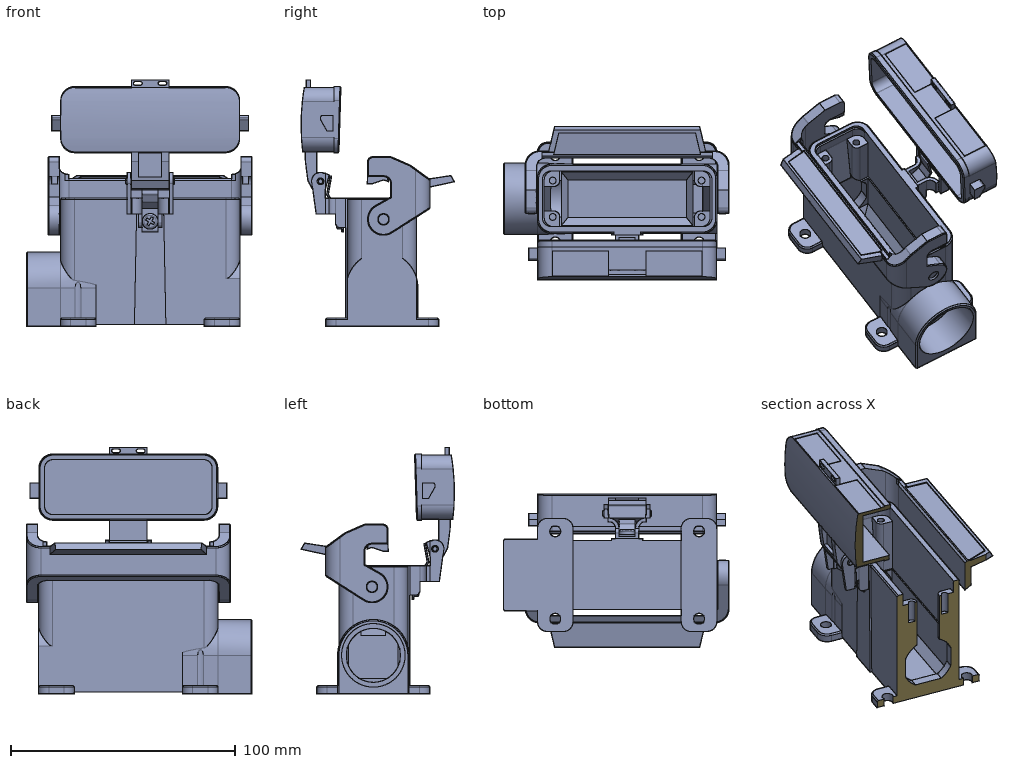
import cadquery as cq
import math


tower_half_x = 40.0
tower_half_y = 15.4
tower_top = 57.1
tower_radius = 6.3
tower_bottom = 0.8
rim_chamfer = 0.6

opening_half_x = 36.9
opening_half_y = 12.4
opening_radius = 4.0
lip_width = 0.85
lip_depth = 1.2
pad_depth = 6.0
pad_inner_x = 30.0
pad_inner_y = 5.5
pad_bottom = 26.0
pad_round = 2.5
end_slope_bottom_x = 33.7
pad_hole_x = 33.1
pad_hole_y = 8.1
pad_hole_diameter = 3.0
pad_hole_depth = 10.0
well_half_x = 29.2
well_half_y = 11.8
floor_half_x = 26.3
floor_half_y = 8.3
floor_z = 3.0
floor_slope_top = 7.0

entry_z = 17.2
entry_radius = 15.95
entry_end_x = -55.1
entry_chamfer = 0.6
entry_taper_end_x = -24.0
entry_taper_radius = 15.45
entry_bore_diameter = 28.3
entry_bore_depth = 15.3
entry_inner_diameter = 24.0
inner_bore_half_x = 33.5
inner_bore_half_y = 11.0

foot_inner_x = 24.0
foot_half_y = 25.2
foot_height = 3.8
foot_radius = 4.6
foot_chamfer = 0.6
foot_hole_x = 32.0
foot_hole_y = 19.5
foot_hole_diameter = 4.8
foot_head_diameter = 8.0

wall_pad_half_top = 5.9
wall_pad_half_bottom = 7.0
wall_pad_y = 16.2

lever_half_x = 45.4
lever_arm_width = 5.0
lever_back_y = 21.3
lever_back_thickness = 3.2
lever_back_top = 65.9
lever_back_half_x = 38.0
lever_back_chamfer = 0.9
lever_outer_radius = 6.5
lever_inner_radius = 4.2
lever_top = 75.6
lever_front_y = -6.5
lever_front_radius = 2.4
lever_eye_radius = 7.1
lever_edge_chamfer = 0.4
pivot_y = 0.6
pivot_z = 47.7
stud_diameter = 4.6
lever_hole_diameter = 5.1
stud_recess = 0.9
mouth_y = 3.8
mouth_bottom = 57.6
mouth_top = 66.7
mouth_radius = 3.2
hook_inner_x = 41.2
hook_outer_x = 43.8
grip_outer_half = 32.3
grip_inner_half = 35.1
grip_panel_outer_half = 30.4
grip_panel_inner_half = 32.7
grip_panel_outer_y = 29.3
grip_panel_inner_y = 19.7
grip_panel_depth = 0.4
grip_root = (20.3, 65.6)
grip_tip = (30.6, 67.2)
grip_tip_low = (32.2, 64.4)
grip_root_low = (20.3, 61.8)

hinge_y = -27.4
hinge_z = 64.6
hinge_pin_diameter = 3.0
hinge_pin_half_x = 10.9
hinge_pin_chamfer = 0.5
sheet = 1.6
ear_outer_x = 10.2
ear_radius = 4.0
ear_back_y = -25.3
ear_bottom = 50.0
ear_foot_y = -29.4
bracket_leg_x = 5.2
bracket_bend_y = -20.8
bracket_plate_front_y = -17.2
bracket_bottom = 44.0
bracket_toe_radius = 2.0
spring_thickness = 0.8
spring_half_x = 3.6
spring_bottom = 42.4
screw_z = 46.8
screw_head_diameter = 7.0
screw_head_height = 2.2
screw_head_fillet = 0.8
screw_shank_diameter = 3.44
screw_tip_y = -13.6
screw_slot_length = 4.0
screw_slot_width = 1.1
screw_slot_depth = 0.9
screw_slot_angle = 30

cover_half_x = 39.8
cover_bottom = 77.3
cover_top = 106.8
cover_radius = 6.3
cover_rim_top_y = -18.3
cover_rim_bottom_y = -19.2
cover_front_top_y = -34.6
cover_front_mid_y = -36.08
cover_front_bottom_y = -35.3
cover_wall = 2.5
cover_edge_chamfer = 0.5
cover_rim_depth = 3.2
cover_rim_step = 0.4
cover_panel_inner_x = 8.4
cover_panel_outer_x = 33.2
cover_panel_back_y = -23.3
cover_panel_front_y = -34.3
cover_panel_depth = 0.6
peg_half_x = 43.8
peg_round = 0.9
tab_half_x = 8.4
tab_top = 109.78
tab_back_y = -31.8
tab_front_y = -33.8
tab_slot_x = 5.5
tab_slot_z = 108.2
tab_slot_length = 3.8
tab_slot_height = 1.5
strap_bottom = 61.3
strap_back_y = -29.0
strap_window_half_x = 5.1
strap_window_bottom = 66.6
strap_window_floor_y = -31.6
knuckle_radius = 2.2


def box(x0, x1, y0, y1, z0, z1):
    """Block between two opposite corners, given in any order."""
    size = (abs(x1 - x0), abs(y1 - y0), abs(z1 - z0))
    centre = ((x0 + x1) / 2, (y0 + y1) / 2, (z0 + z1) / 2)
    return cq.Workplane("XY").box(*size).translate(centre)


def upright(half_x, half_y, radius, z0, z1):
    """Upright rounded block centred on the Z axis."""
    block = box(-half_x, half_x, -half_y, half_y, z0, z1)
    return block.edges("|Z").fillet(radius)


def x_cylinder(diameter, x0, x1, y, z):
    """Cylinder along X."""
    return cq.Workplane("YZ", origin=(x0, y, z)).circle(diameter / 2).extrude(x1 - x0)


def y_cylinder(diameter, y0, y1, x, z):
    """Cylinder along Y from y0 towards the lower y1."""
    return cq.Workplane("XZ", origin=(x, y0, z)).circle(diameter / 2).extrude(y0 - y1)


def z_cylinder(diameter, z0, z1, x, y):
    """Upright cylinder."""
    return cq.Workplane("XY", origin=(x, y, z0)).circle(diameter / 2).extrude(z1 - z0)


def side_profile(points, x0, x1):
    """Polygon of (Y, Z) points extruded along X."""
    return cq.Workplane("YZ", origin=(x0, 0, 0)).polyline(points).close().extrude(x1 - x0)


def mirrored(shape, plane):
    """The shape joined with its mirror image."""
    return shape.union(shape.mirror(plane))


def arch_wire(plane, radius):
    """Arch outline: flat bottom on Z = 0, straight sides, round top."""
    return (
        plane.moveTo(-radius, 0)
        .lineTo(-radius, entry_z)
        .threePointArc((0, entry_z + radius), (radius, entry_z))
        .lineTo(radius, 0)
        .close()
    )


def make_entry():
    """Cable entry, tapering into the tower wall."""
    spout_plane = cq.Workplane("YZ", origin=(entry_end_x, 0, 0))
    spout = arch_wire(spout_plane, entry_radius).extrude(-tower_half_x - entry_end_x)
    spout = spout.faces("<X").edges("not(<Z)").chamfer(entry_chamfer)
    taper = arch_wire(cq.Workplane("YZ", origin=(-tower_half_x, 0, 0)), entry_radius)
    taper = taper.workplane(offset=entry_taper_end_x + tower_half_x)
    taper = arch_wire(taper, entry_taper_radius).loft(combine=True)
    return spout.union(taper)


def make_blind_end():
    """Arched base at the closed end, flush with the tower walls."""
    start_x = tower_half_x - tower_radius
    arch = arch_wire(cq.Workplane("YZ", origin=(start_x, 0, 0)), entry_radius).extrude(tower_radius)
    walls = box(start_x, tower_half_x, -tower_half_y, tower_half_y, 0, tower_top)
    return arch.intersect(walls)


def make_foot_bar(side):
    """Mounting bar across one end, forming a foot at the front and the back."""
    bar = box(side * foot_inner_x, side * tower_half_x, -foot_half_y, foot_half_y, 0, foot_height)
    return bar.edges("|Z").fillet(foot_radius).faces(">Z").edges().chamfer(foot_chamfer)


def make_wall_pad():
    """Tapered pad down the front wall, seat of the hinge bracket."""
    outline = [
        (-wall_pad_half_top, tower_top),
        (wall_pad_half_top, tower_top),
        (wall_pad_half_bottom, tower_bottom),
        (-wall_pad_half_bottom, tower_bottom),
    ]
    plane = cq.Workplane("XZ", origin=(0, -opening_half_y, 0))
    return plane.polyline(outline).close().extrude(wall_pad_y - opening_half_y)


def make_insert_pad():
    """Column under one contact-insert corner, rounded towards the well."""
    pad = box(
        pad_inner_x,
        opening_half_x + lip_width,
        pad_inner_y,
        opening_half_y,
        pad_bottom,
        tower_top - pad_depth,
    )
    return pad.edges("|Z and <X and <Y").fillet(pad_round)


def make_cavity():
    """Open interior: mouth, contact-insert pads, well and sloped floor."""
    mouth = upright(opening_half_x, opening_half_y, opening_radius, pad_bottom, tower_top)
    lip_half_x = opening_half_x + lip_width
    lip = upright(lip_half_x, opening_half_y, opening_radius, tower_top - lip_depth, tower_top)
    end_slopes = [
        (-opening_half_x, tower_top),
        (opening_half_x, tower_top),
        (opening_half_x, tower_top - pad_depth),
        (end_slope_bottom_x, pad_bottom),
        (-end_slope_bottom_x, pad_bottom),
        (-opening_half_x, tower_top - pad_depth),
    ]
    plane = cq.Workplane("XZ", origin=(0, opening_half_y, 0))
    mouth = mouth.intersect(plane.polyline(end_slopes).close().extrude(2 * opening_half_y))
    pads = mirrored(mirrored(make_insert_pad(), "YZ"), "XZ")
    well = box(-well_half_x, well_half_x, -well_half_y, well_half_y, floor_slope_top, pad_bottom)
    floor = (
        cq.Workplane("XY", origin=(0, 0, floor_z))
        .rect(2 * floor_half_x, 2 * floor_half_y)
        .workplane(offset=floor_slope_top - floor_z)
        .rect(2 * well_half_x, 2 * well_half_y)
        .loft(combine=True)
    )
    end_x = inner_bore_half_x
    end_y = inner_bore_half_y
    bore = x_cylinder(entry_inner_diameter, -end_x, end_x, 0, entry_z)
    bore = bore.intersect(box(-end_x, end_x, -end_y, end_y, floor_slope_top, tower_top))
    return mouth.cut(pads).union(lip).union(well).union(floor).union(bore)


def make_housing():
    body = upright(tower_half_x, tower_half_y, tower_radius, tower_bottom, tower_top)
    body = body.faces(">Z").edges().chamfer(rim_chamfer)
    body = body.union(make_wall_pad())
    body = body.union(make_entry()).union(make_blind_end())
    for y in (-foot_hole_y, foot_hole_y):
        body = body.cut(z_cylinder(foot_head_diameter, 0, tower_top, -foot_hole_x, y))
    for side in (-1, 1):
        body = body.union(make_foot_bar(side))
    body = body.cut(make_cavity())
    for x in (-foot_hole_x, foot_hole_x):
        for y in (-foot_hole_y, foot_hole_y):
            body = body.cut(z_cylinder(foot_hole_diameter, 0, foot_height, x, y))
    pad_z = tower_top - pad_depth
    for x in (-pad_hole_x, pad_hole_x):
        for y in (-pad_hole_y, pad_hole_y):
            body = body.cut(z_cylinder(pad_hole_diameter, pad_z - pad_hole_depth, pad_z, x, y))
    bore_end_x = entry_end_x + entry_bore_depth
    body = body.cut(x_cylinder(entry_bore_diameter, entry_end_x, bore_end_x, 0, entry_z))
    body = body.cut(x_cylinder(entry_inner_diameter, bore_end_x, -well_half_x, 0, entry_z))
    stud_start = opening_half_x + lip_width
    stud = x_cylinder(stud_diameter, stud_start, lever_half_x - stud_recess, pivot_y, pivot_z)
    body = body.union(mirrored(stud, "YZ"))
    return body.cut(y_cylinder(screw_shank_diameter, screw_tip_y, -wall_pad_y, 0, screw_z))


def tangent_point(point, side):
    """Where a line from the point touches the lever eye, on the chosen side."""
    dy = point[0] - pivot_y
    dz = point[1] - pivot_z
    angle = math.atan2(dz, dy) + side * math.acos(lever_eye_radius / math.hypot(dy, dz))
    return (
        pivot_y + lever_eye_radius * math.cos(angle),
        pivot_z + lever_eye_radius * math.sin(angle),
    )


def make_lever_profile():
    """Side shape of the lever, as a slab over its whole width."""
    back_low = (lever_back_y, 52.5)
    mouth_low = (mouth_y, mouth_bottom)
    eye_bottom = (pivot_y, pivot_z - lever_eye_radius)
    diagonal = mouth_radius * (1 - math.sqrt(0.5))
    corner = lever_front_radius * (1 - math.sqrt(0.5))
    return (
        cq.Workplane("YZ", origin=(-lever_half_x, 0, 0))
        .moveTo(*back_low)
        .lineTo(lever_back_y, 65.4)
        .lineTo(12.5, 71.8)
        .lineTo(mouth_y, lever_top)
        .lineTo(lever_front_y + lever_front_radius, lever_top)
        .threePointArc(
            (lever_front_y + corner, lever_top - corner),
            (lever_front_y, lever_top - lever_front_radius),
        )
        .lineTo(lever_front_y, mouth_top)
        .lineTo(mouth_y - mouth_radius, mouth_top)
        .threePointArc(
            (mouth_y - diagonal, mouth_top - diagonal),
            (mouth_y, mouth_top - mouth_radius),
        )
        .lineTo(*mouth_low)
        .lineTo(*tangent_point(mouth_low, 1))
        .threePointArc(eye_bottom, tangent_point(back_low, -1))
        .close()
        .extrude(2 * lever_half_x)
    )


def make_back_relief():
    """Material above the back plate, shaped to leave a chamfered inner edge."""
    inner_y = lever_back_y - lever_back_thickness
    outline = [
        (inner_y, lever_back_top - lever_back_chamfer),
        (inner_y + lever_back_chamfer, lever_back_top),
        (lever_back_y, lever_back_top),
        (lever_back_y, lever_top),
        (inner_y, lever_top),
    ]
    return side_profile(outline, -lever_back_half_x, lever_back_half_x)


def make_lever_band():
    """U-shaped plan of the lever: two arms joined behind the housing."""
    reach_y = pivot_y - lever_eye_radius - 1
    outer = box(-lever_half_x, lever_half_x, reach_y, lever_back_y, 0, lever_top)
    outer = outer.edges("|Z and >Y").fillet(lever_outer_radius)
    inner_x = lever_half_x - lever_arm_width
    inner = box(-inner_x, inner_x, reach_y, lever_back_y - lever_back_thickness, 0, lever_top)
    inner = inner.edges("|Z and >Y").fillet(lever_inner_radius)
    return outer.cut(inner)


def make_hook():
    """Catch below the upper jaw of the arm, holding the cover peg."""
    outline = [
        (mouth_y - mouth_radius / 2, mouth_top),
        (2.9, 64.4),
        (0.7, 65.2),
        (-4.3, 63.5),
        (-6.7, 63.5),
        (lever_front_y, mouth_top),
    ]
    return side_profile(outline, hook_inner_x, hook_outer_x)


def make_grip():
    """Finger plate sloping up behind the lever."""
    plate = side_profile(
        [grip_root, grip_tip, grip_tip_low, grip_root_low], -grip_inner_half, grip_inner_half
    )
    plan = [
        (-grip_inner_half, grip_root[0]),
        (-grip_outer_half, grip_tip_low[0]),
        (grip_outer_half, grip_tip_low[0]),
        (grip_inner_half, grip_root[0]),
    ]
    return plate.intersect(cq.Workplane("XY").polyline(plan).close().extrude(lever_top))


def make_grip_panel():
    """Shallow recess framed by the rim of the finger plate."""
    plan = [
        (-grip_panel_inner_half, grip_panel_inner_y),
        (-grip_panel_outer_half, grip_panel_outer_y),
        (grip_panel_outer_half, grip_panel_outer_y),
        (grip_panel_inner_half, grip_panel_inner_y),
    ]
    column = cq.Workplane("XY").polyline(plan).close().extrude(lever_top)
    slope = (grip_tip[1] - grip_root[1]) / (grip_tip[0] - grip_root[0])
    inner_z = grip_root[1] + slope * (grip_panel_inner_y - grip_root[0])
    above_floor = side_profile(
        [
            (grip_panel_inner_y, inner_z - grip_panel_depth),
            (grip_tip[0], grip_tip[1] - grip_panel_depth),
            (grip_tip[0], lever_top),
            (grip_panel_inner_y, lever_top),
        ],
        -grip_panel_inner_half,
        grip_panel_inner_half,
    )
    return column.intersect(above_floor)


def make_lever():
    body = make_lever_profile().intersect(make_lever_band())
    arm_faces = body.faces("<X or >X")
    body = arm_faces.edges("not(|Z and >Y)").chamfer(lever_edge_chamfer)
    body = body.cut(make_back_relief())
    body = body.union(mirrored(make_hook(), "YZ"))
    body = body.union(make_grip()).cut(make_grip_panel())
    return body.cut(x_cylinder(lever_hole_diameter, -lever_half_x, lever_half_x, pivot_y, pivot_z))


def make_bracket_side():
    """Leg, outward bend and ear on the +X side of the bracket."""
    leg_inner_x = bracket_leg_x - sheet
    leg = box(leg_inner_x, bracket_leg_x, -wall_pad_y, bracket_bend_y, bracket_bottom, tower_top)
    leg = leg.edges("|X and <Y and <Z").fillet(bracket_toe_radius)
    bend_radius = bracket_bend_y - ear_back_y
    bend_x = leg_inner_x + bend_radius
    bend = z_cylinder(2 * bend_radius, ear_bottom, tower_top, bend_x, bracket_bend_y)
    bend = bend.cut(z_cylinder(2 * (bend_radius - sheet), ear_bottom, tower_top, bend_x, bracket_bend_y))
    quarter = box(leg_inner_x, bend_x, ear_back_y, bracket_bend_y, ear_bottom, tower_top)
    bend = bend.intersect(quarter)
    ear_inner_x = ear_outer_x - sheet
    shank = side_profile(
        [
            (ear_back_y, ear_bottom),
            (ear_foot_y, ear_bottom),
            (hinge_y - ear_radius, hinge_z),
            (ear_back_y, hinge_z),
        ],
        ear_inner_x,
        ear_outer_x,
    )
    eye = x_cylinder(2 * ear_radius, ear_inner_x, ear_outer_x, hinge_y, hinge_z)
    eye = eye.cut(box(0, ear_outer_x, ear_back_y, 0, 0, tab_top))
    root = box(ear_inner_x, bend_x, ear_back_y - sheet, ear_back_y + sheet, ear_bottom, tower_top)
    return leg.union(bend).union(root).union(shank).union(eye)


def make_bracket():
    leg_x = bracket_leg_x
    body = box(-leg_x, leg_x, -wall_pad_y, bracket_plate_front_y, bracket_bottom, tower_top)
    body = body.union(mirrored(make_bracket_side(), "YZ"))
    body = body.cut(x_cylinder(hinge_pin_diameter, -ear_outer_x, ear_outer_x, hinge_y, hinge_z))
    return body.cut(y_cylinder(screw_shank_diameter, -wall_pad_y, bracket_plate_front_y, 0, screw_z))


def make_spring():
    """Leaf under the screw that bends out and up behind the cover hinge."""
    back_y = bracket_plate_front_y
    centre = [
        (back_y - spring_thickness / 2, spring_bottom),
        (back_y - spring_thickness / 2, 52.7),
        (-22.6, 55.6),
        (-24.3, 58.8),
        (-22.9, 66.6),
    ]
    leaf = (
        cq.Workplane("YZ", origin=(-spring_half_x, 0, 0))
        .polyline(centre)
        .offset2D(spring_thickness / 2)
        .extrude(2 * spring_half_x)
    )
    return leaf.cut(y_cylinder(screw_shank_diameter, back_y, back_y - spring_thickness, 0, screw_z))


def make_screw():
    seat_y = bracket_plate_front_y - spring_thickness
    face_y = seat_y - screw_head_height
    body = y_cylinder(screw_head_diameter, seat_y, face_y, 0, screw_z)
    body = body.faces("<Y").edges().fillet(screw_head_fillet)
    slot_floor_y = face_y + screw_slot_depth
    half = screw_slot_length / 2
    thin = screw_slot_width / 2
    for half_x, half_z in ((half, thin), (thin, half)):
        slot = box(-half_x, half_x, face_y, slot_floor_y, screw_z - half_z, screw_z + half_z)
        body = body.cut(slot.rotate((0, 0, screw_z), (0, 1, screw_z), screw_slot_angle))
    return body.union(y_cylinder(screw_shank_diameter, screw_tip_y, seat_y, 0, screw_z))


def cover_block(inset_x, inset_z, y0, y1):
    """Rounded cover outline, drawn in by the insets, between two Y planes."""
    half_x = cover_half_x - inset_x
    block = box(-half_x, half_x, y0, y1, cover_bottom + inset_z, cover_top - inset_z)
    return block.edges("|Y").fillet(cover_radius - inset_x)


def make_cover_shell():
    """Hollow cover body with a bowed front face, open towards the back."""
    mid_z = (cover_bottom + cover_top) / 2
    slab = (
        cq.Workplane("YZ", origin=(-cover_half_x, 0, 0))
        .moveTo(cover_rim_top_y, cover_top)
        .lineTo(cover_rim_bottom_y, cover_bottom)
        .lineTo(cover_front_bottom_y, cover_bottom)
        .threePointArc((cover_front_mid_y, mid_z), (cover_front_top_y, cover_top))
        .close()
        .extrude(2 * cover_half_x)
    )
    rim_front_y = cover_rim_top_y - cover_rim_depth
    beyond_front_y = cover_front_mid_y - 1
    outline = cover_block(0, 0, cover_rim_top_y, rim_front_y)
    outline = outline.union(cover_block(0, cover_rim_step, rim_front_y, beyond_front_y))
    shell = slab.intersect(outline)
    shell = shell.faces(">Y").edges().chamfer(cover_edge_chamfer)
    cavity_end_y = cover_front_top_y + cover_wall
    return shell.cut(cover_block(cover_wall, cover_wall, cover_rim_top_y, cavity_end_y))


def make_cover_peg():
    """Tapered peg on the end of the cover, caught by the lever hook."""
    outline = [
        (-21.9, 93.9),
        (-27.4, 93.9),
        (-27.4, 92.0),
        (-24.6, 87.1),
        (-21.9, 87.1),
    ]
    peg = side_profile(outline, cover_half_x - cover_wall, peg_half_x)
    return peg.edges("|X and <Y").fillet(peg_round)


def make_cover_tab():
    """Lug along the top edge with two slots for a label strap."""
    tab = box(-tab_half_x, tab_half_x, tab_back_y, tab_front_y, cover_top - cover_wall, tab_top)
    slots = (
        cq.Workplane("XZ", origin=(0, tab_back_y, tab_slot_z))
        .pushPoints([(-tab_slot_x, 0), (tab_slot_x, 0)])
        .slot2D(tab_slot_length, tab_slot_height)
        .extrude(tab_back_y - tab_front_y)
    )
    return tab.cut(slots)


def make_cover_strap():
    """Strap below the cover with a recessed window, a hinge knuckle and its pin."""
    outline = [
        (strap_back_y, cover_bottom + cover_wall),
        (-34.4, cover_bottom + cover_wall),
        (-34.2, 73.5),
        (-33.1, 65.0),
        (-31.2, strap_bottom),
        (-30.4, strap_bottom),
        (strap_back_y, hinge_z + knuckle_radius),
    ]
    strap = side_profile(outline, -tab_half_x, tab_half_x)
    knuckle = x_cylinder(2 * knuckle_radius, -tab_half_x, tab_half_x, hinge_y, hinge_z)
    web = side_profile(
        [
            (-23.5, 67.4),
            (ear_back_y, hinge_z + ear_radius - 0.4),
            (strap_back_y - 1, hinge_z + knuckle_radius),
            (-30.8, strap_bottom),
            (ear_back_y, 60.8),
        ],
        -tab_half_x,
        tab_half_x,
    )
    window = box(
        -strap_window_half_x,
        strap_window_half_x,
        strap_window_floor_y,
        cover_front_mid_y,
        strap_window_bottom,
        cover_bottom,
    )
    pin = x_cylinder(hinge_pin_diameter, -hinge_pin_half_x, hinge_pin_half_x, hinge_y, hinge_z)
    pin = pin.faces("<X or >X").edges().chamfer(hinge_pin_chamfer)
    return strap.union(knuckle).union(web).cut(window).union(pin)


def make_cover():
    body = make_cover_shell()
    panel = box(
        cover_panel_inner_x,
        cover_panel_outer_x,
        cover_panel_back_y,
        cover_panel_front_y,
        cover_top - cover_panel_depth,
        cover_top,
    )
    body = body.cut(mirrored(panel, "YZ"))
    body = body.union(mirrored(make_cover_peg(), "YZ"))
    return body.union(make_cover_tab()).union(make_cover_strap())


housing = make_housing()
lever = make_lever()
bracket = make_bracket()
spring = make_spring()
screw = make_screw()
cover = make_cover()

result = cq.Compound.makeCompound(
    [
        housing.val(),
        lever.val(),
        bracket.val(),
        spring.val(),
        screw.val(),
        cover.val(),
    ]
)